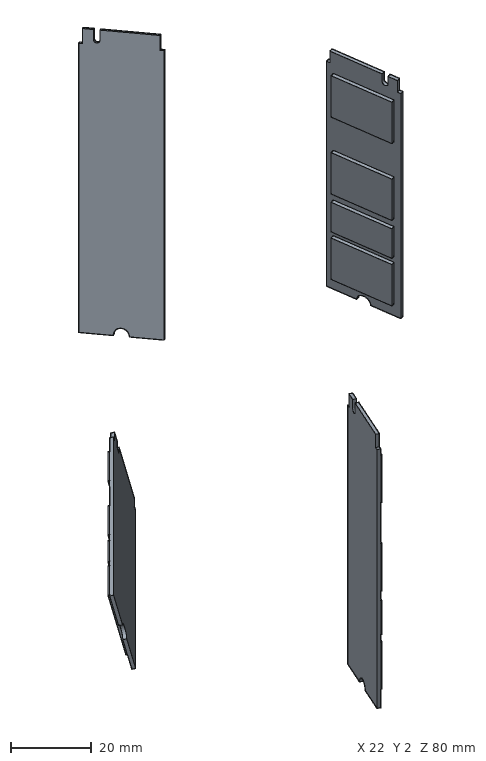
import cadquery as cq

board_width = 22.0
board_length = 80.0
total_thickness = 2.0
board_thickness = total_thickness / 2
chip_thickness = total_thickness - board_thickness

connector_width = 20.0
connector_length = 3.9
notch_center_x = -6.3
notch_width = 1.7
notch_depth = 3.4

mount_radius = 2.1

chip_width = 18.0
large_chip_length = 14.0
small_chip_length = 10.0
chips = [
    (4.1, large_chip_length),
    (20.2, small_chip_length),
    (33.0, large_chip_length),
    (59.0, large_chip_length),
]


def slab(center_x, bottom_z, width, height, front_y, thickness):
    """Flat block standing in the XZ plane."""
    corner = (center_x - width / 2, front_y, bottom_z)
    return cq.Workplane("XY").box(width, thickness, height, centered=False).translate(corner)


def cross_cylinder(center_x, center_z, radius):
    """Round cutter through the board thickness."""
    return (
        cq.Workplane("XZ")
        .center(center_x, center_z)
        .circle(radius)
        .extrude(-board_thickness)
    )


def make_board():
    shoulder_z = board_length - connector_length
    body = slab(0, 0, board_width, shoulder_z, 0, board_thickness)
    connector = slab(0, shoulder_z, connector_width, connector_length, 0, board_thickness)

    notch_radius = notch_width / 2
    notch_arc_z = board_length - notch_depth + notch_radius
    notch_straight = board_length - notch_arc_z
    notch = slab(notch_center_x, notch_arc_z, notch_width, notch_straight, 0, board_thickness)
    notch = notch.union(cross_cylinder(notch_center_x, notch_arc_z, notch_radius))

    mount_cutout = cross_cylinder(0, 0, mount_radius)
    return body.union(connector).cut(notch).cut(mount_cutout)


result = make_board()
for chip_bottom, chip_length in chips:
    result = result.union(
        slab(0, chip_bottom, chip_width, chip_length, board_thickness, chip_thickness)
    )